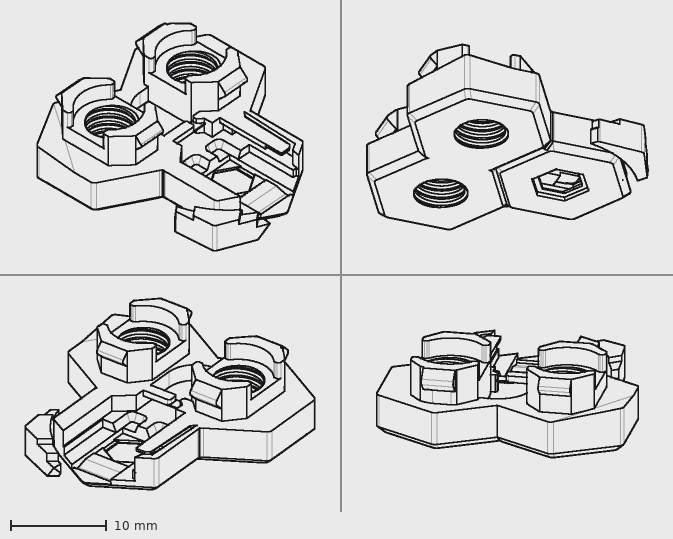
import cadquery as cq
import math

EPS = 0.02
FAR = 20.0

DECK_Z = 4.31
LARGE_APOTHEM = 6.976
SMALL_APOTHEM = 6.72
CENTER_A = (-11.39, 6.117)
CENTER_B = (-11.557, -6.30)
CORNER_RADIUS = 0.6
BOTTOM_CHAMFER = 0.75

RAMP_HINGE_START = (-19.58, -6.33)
RAMP_HINGE_END = (-10.16, -13.276)
RAMP_SLOPE = 0.198
RAMP_RUN = 5.0

TOWER_TOP_Z = 8.2
SADDLE_Z = 6.25
TOWER_SHIFT = (-0.05, -0.14)
TOWER_DEPTH = 7.16
TOWER_HALF_WIDTH_A = 5.33
TOWER_HALF_WIDTH_B = 5.24
TOWER_BEVEL_X = 2.0
CUP_RADIUS = 3.73
MOUTH_WIDTH = 4.68
MOUTH_FILLET = 0.3
SIDE_ROUND_RADIUS = 5.42
SIDE_ROUND_Y = -0.15
SNAP_WIDTH = 3.39
SNAP_SHIFT_Y = 0.12
SNAP_TIP_Z_A = 7.0
SNAP_TIP_Z_B = 7.25
SNAP_REACH_A = 1.02
SNAP_REACH_B = 0.82

HOLE_SHIFT = (0.06, -0.03)
HOLE_DIAMETER = 5.34
THREAD_MAJOR_DIAMETER = 5.95
THREAD_PITCH = 1.0
THREAD_ROOT_WIDTH = 0.2
THREAD_MOUTH_WIDTH = 0.75
THREAD_OVERCUT = 0.1
SLEEVE_RADIUS = 3.4
THREAD_SEAM_ANGLE = 17
SLEEVE_ANGLE = -72

POCKET_Z = 2.4
SHELF_Z = 1.42
PLATE_BOTTOM_Z = 3.65
PAD_LEFT, PAD_RIGHT = -14.16, -7.47
PAD_BOTTOM, PAD_TOP = -2.44, 2.42
PAD_RADIUS = 3.5
PAD_CORNER_WIDTH = 0.72
PAD_CORNER_HEIGHT = 0.8
POCKET_TOP = 2.51
POCKET_STEP_X = -5.2
SHELF_LEFT = -1.52
SHELF_END_X = 4.72
SHELF_BOTTOM, SHELF_TOP = -4.27, 4.23
POCKET_MOUTH_TOP = 4.69
LEVER_TIP_X = 1.26
LEVER_TIP_BOTTOM_Z = 4.02

BAR_RIGHT = -6.19
BAR_END_Y = 0.95
BAR_FILLET = 0.3
FILM_BOTTOM_Z = 3.6
FILM_TOP_Z = 3.72

CHANNEL_HALF_WIDTH = 2.51
CHANNEL_LEFT = -2.69
CHANNEL_STEPS = [
    (CHANNEL_LEFT, 0.75),
    (2.44, 0.89),
    (5.17, 0.52),
    (5.90, 0.86),
]
RAMP_LEFT = 3.88
TAPER_POCKET_LEFT = -4.27
TAPER_POCKET_HEIGHT = 1.56
TAPER_POCKET_ANGLE = 23.0
TAPER_POCKET_RADIUS = 0.3
TAPER_POCKET_CENTERS_Y = (1.72, -1.75)
WINDOW_X = -0.14
WINDOW_HALF_LENGTH = 2.46
WINDOW_HALF_WIDTH = 2.06
WINDOW_LEDGE_Z = 0.6
WINDOW_RECESS_Z = 0.45
WINDOW_RECESS_MARGIN = 0.7

LATCH_Z = 3.4
LATCH_SHOULDER_Z = 2.77
LATCH_TIP_Z = 1.76
LATCH_AXIS_ANGLE = 36.3
LATCH_CORNER_RADIUS = 0.5
LATCH_UNDERCUT = 1.2


def box(x0, x1, y0, y1, z0, z1):
    """Axis-aligned block between the given limits."""
    return cq.Workplane("XY").box(x1 - x0, y1 - y0, z1 - z0, centered=False).translate((x0, y0, z0))


def prism(points, z0, z1):
    """Upright prism on a closed outline."""
    return cq.Workplane("XY").workplane(offset=z0).polyline(points).close().extrude(z1 - z0)


def rounded_hexagon(apothem):
    """Hexagon outline with one corner pointing along +X and rounded corners."""
    circumradius = apothem / math.cos(math.pi / 6)
    return cq.Sketch().regularPolygon(circumradius, 6, 30).vertices().fillet(CORNER_RADIUS)


def chamfered_hexagon(center, apothem):
    """Hexagonal block whose underside narrows; its corner radius stays the same all the way down."""
    underside = rounded_hexagon(apothem - BOTTOM_CHAMFER)
    outline = rounded_hexagon(apothem)
    raised_outline = outline.moved(cq.Location((0, 0, BOTTOM_CHAMFER)))
    foot = cq.Workplane("XY").placeSketch(underside, raised_outline).loft()
    block = cq.Workplane("XY").workplane(offset=BOTTOM_CHAMFER).placeSketch(outline)
    block = block.extrude(DECK_Z - BOTTOM_CHAMFER)
    return foot.union(block).translate((*center, 0))


def joint_infill(center, side):
    """Rounded infill where the +Y (side 1) or -Y (side -1) large hexagon meets the small one."""
    lean = math.tan(math.pi / 6)
    reach = CORNER_RADIUS * lean
    corner_x = center[0] + LARGE_APOTHEM / math.cos(math.pi / 6) - (SMALL_APOTHEM - side * center[1]) * lean
    corner = (corner_x, SMALL_APOTHEM)
    on_small_edge = (corner[0] + reach, corner[1])
    on_large_edge = (corner[0] - reach * math.sin(math.pi / 6), corner[1] + reach * math.cos(math.pi / 6))
    sagitta_point = (
        on_small_edge[0] - CORNER_RADIUS * math.sin(math.pi / 6),
        on_small_edge[1] + CORNER_RADIUS * (1 - math.cos(math.pi / 6)),
    )

    def outline(shift_x, shift_y, z):
        def moved(point):
            return (point[0] + shift_x, point[1] + shift_y)
        start = cq.Workplane("XY").workplane(offset=z).moveTo(*moved(corner)).lineTo(*moved(on_small_edge))
        return start.threePointArc(moved(sagitta_point), moved(on_large_edge)).close()

    upright = outline(0, 0, BOTTOM_CHAMFER).extrude(DECK_Z - BOTTOM_CHAMFER)
    underside = outline(-BOTTOM_CHAMFER * lean, -BOTTOM_CHAMFER, 0).val()
    foot = cq.Solid.makeLoft([underside, outline(0, 0, BOTTOM_CHAMFER).val()], True)
    infill = upright.union(cq.Workplane(foot))
    return infill if side > 0 else infill.mirror("XZ")


def base_plate():
    plate = chamfered_hexagon(CENTER_A, LARGE_APOTHEM)
    plate = plate.union(chamfered_hexagon(CENTER_B, LARGE_APOTHEM))
    plate = plate.union(chamfered_hexagon((0, 0), SMALL_APOTHEM))
    return plate.union(joint_infill(CENTER_A, 1)).union(joint_infill(CENTER_B, -1))


def raised_corner():
    """Sloping wedge that rises from a hinge line across the lower large hexagon."""
    dx = RAMP_HINGE_END[0] - RAMP_HINGE_START[0]
    dy = RAMP_HINGE_END[1] - RAMP_HINGE_START[1]
    length = math.hypot(dx, dy)
    hinge = cq.Plane(
        origin=(*RAMP_HINGE_START, DECK_Z),
        xDir=(dy / length, -dx / length, 0),
        normal=(-dx / length, -dy / length, 0),
    )
    profile = [
        (0, 0),
        (RAMP_RUN, RAMP_RUN * RAMP_SLOPE),
        (RAMP_RUN, BOTTOM_CHAMFER - DECK_Z),
        (0, BOTTOM_CHAMFER - DECK_Z),
    ]
    wedge = cq.Workplane(hinge).polyline(profile).close().extrude(FAR, both=True)
    footprint = cq.Workplane("XY").placeSketch(rounded_hexagon(LARGE_APOTHEM)).extrude(TOWER_TOP_Z)
    return wedge.intersect(footprint.translate((*CENTER_B, 0)))


def snap_ridge(half_width, reach, tip_z):
    """Roof-shaped ridge on the +X flank of a tower, running along Y."""
    root = half_width - 0.5
    rise = TOWER_TOP_Z - tip_z
    profile = [
        (root, TOWER_TOP_Z),
        (half_width, TOWER_TOP_Z),
        (half_width + rise, tip_z),
        (half_width, tip_z - rise),
        (root, tip_z - rise),
    ]
    ridge = cq.Workplane("XZ").polyline(profile).close().extrude(SNAP_WIDTH / 2, both=True)
    tip_setback = rise - reach
    radius = tip_setback / (math.sqrt(2) - 1)
    return ridge.edges("|Y and >X").fillet(radius).translate((0, SNAP_SHIFT_Y, 0))


def tower(half_width, reach, tip_z, round_left):
    """Eight-sided tower about the origin with a round cup, an open mouth and two snap ridges."""
    half_depth = TOWER_DEPTH / 2
    flank_low = SNAP_SHIFT_Y - SNAP_WIDTH / 2
    flank_high = SNAP_SHIFT_Y + SNAP_WIDTH / 2
    outline = [
        (half_width, flank_low),
        (half_width, flank_high),
        (half_width - TOWER_BEVEL_X, half_depth),
        (TOWER_BEVEL_X - half_width, half_depth),
        (-half_width, flank_high),
        (-half_width, flank_low),
        (TOWER_BEVEL_X - half_width, -half_depth),
        (half_width - TOWER_BEVEL_X, -half_depth),
    ]
    body = prism(outline, POCKET_Z, TOWER_TOP_Z)
    mouth = box(-MOUTH_WIDTH / 2, MOUTH_WIDTH / 2, -FAR, FAR, SADDLE_Z, FAR)
    cup = cq.Workplane("XY").workplane(offset=SADDLE_Z).circle(CUP_RADIUS).extrude(FAR)
    body = body.cut(mouth).cut(cup)
    cheek_tips = cq.selectors.BoxSelector((-2.6, -FAR, SADDLE_Z + 0.1), (2.6, FAR, FAR))
    body = body.edges("|Z").edges(cheek_tips).fillet(MOUTH_FILLET)
    if round_left:
        flank = cq.Workplane("XY").center(0, SIDE_ROUND_Y).circle(SIDE_ROUND_RADIUS).extrude(FAR)
        body = body.intersect(flank.union(box(0, FAR, -FAR, FAR, 0, FAR)))
    ridge = snap_ridge(half_width, reach, tip_z)
    return body.union(ridge).union(ridge.mirror("YZ"))


def threaded_sleeve():
    """Ring of tower material around the bore, carrying one helical thread groove."""
    bore_radius = HOLE_DIAMETER / 2
    major_radius = THREAD_MAJOR_DIAMETER / 2
    inner_radius = bore_radius - THREAD_OVERCUT
    bore = cq.Workplane("XY").workplane(offset=-1).circle(bore_radius).extrude(FAR)
    sleeve = cq.Workplane("XY").circle(SLEEVE_RADIUS).extrude(SADDLE_Z).cut(bore)
    helix = cq.Wire.makeHelix(THREAD_PITCH, SADDLE_Z + 2 * THREAD_PITCH, bore_radius)
    profile = [
        (inner_radius, -THREAD_MOUTH_WIDTH / 2),
        (major_radius, -THREAD_ROOT_WIDTH / 2),
        (major_radius, THREAD_ROOT_WIDTH / 2),
        (inner_radius, THREAD_MOUTH_WIDTH / 2),
    ]
    groove = cq.Workplane("XZ").polyline(profile).close().sweep(cq.Workplane(helix), isFrenet=True)
    groove = groove.translate((0, 0, -THREAD_PITCH)).rotate((0, 0, 0), (0, 0, 1), THREAD_SEAM_ANGLE)
    return sleeve.cut(groove).rotate((0, 0, 0), (0, 0, 1), SLEEVE_ANGLE)


def pad_recess():
    """Recess left of the bar, with one large round corner."""
    pad = box(PAD_LEFT, PAD_RIGHT + EPS, PAD_BOTTOM, PAD_TOP, POCKET_Z, FAR)
    pad = pad.edges("|Z and <X and <Y").fillet(PAD_RADIUS)
    corner_left = PAD_RIGHT - PAD_CORNER_WIDTH
    corner_top = PAD_TOP + PAD_CORNER_HEIGHT
    corner = box(corner_left, PAD_RIGHT, PAD_TOP - EPS, corner_top, POCKET_Z, FAR)
    return pad.union(corner)


def mechanism_pocket():
    """Stepped pocket that opens through the +X sides of the small hexagon."""
    outline = [
        (PAD_RIGHT, PAD_BOTTOM),
        (-4.95, PAD_BOTTOM),
        (-3.35, -4.45),
        (FAR, -4.45),
        (FAR, POCKET_MOUTH_TOP),
        (5.04, POCKET_MOUTH_TOP),
        (4.03, 4.89),
        (3.48, 5.84),
        (-3.97, 6.15),
        (-3.97, SHELF_TOP),
        (POCKET_STEP_X, SHELF_TOP),
        (POCKET_STEP_X, POCKET_TOP),
        (PAD_RIGHT, POCKET_TOP),
    ]
    pocket = prism(outline, POCKET_Z, FAR)
    shelf = box(SHELF_LEFT, FAR, SHELF_BOTTOM, SHELF_TOP, SHELF_Z, FAR)
    shelf_end = box(SHELF_END_X, FAR, 0, POCKET_MOUTH_TOP, SHELF_Z, FAR)
    return pocket.union(shelf).union(shelf_end)


def channel():
    """Stepped channel along X, with one sloping stretch of floor."""
    right_ends = [left for left, _ in CHANNEL_STEPS[1:]] + [FAR]
    profile = [(CHANNEL_LEFT, DECK_Z)]
    for (left, floor), right in zip(CHANNEL_STEPS, right_ends):
        level_end = RAMP_LEFT if left < RAMP_LEFT < right else right
        profile += [(left, floor), (level_end, floor)]
    profile.append((FAR, DECK_Z))
    return cq.Workplane("XZ").polyline(profile).close().extrude(CHANNEL_HALF_WIDTH, both=True)


def taper_pocket(center_y):
    """Pocket whose walls lean outward from the shelf level to the pocket floor."""
    length = SHELF_LEFT + FAR / 4 - TAPER_POCKET_LEFT
    floor = cq.Workplane("XY").workplane(offset=SHELF_Z).center(TAPER_POCKET_LEFT + length / 2, center_y)
    floor = floor.sketch().rect(length, TAPER_POCKET_HEIGHT).vertices().fillet(TAPER_POCKET_RADIUS).finalize()
    return floor.extrude(POCKET_Z - SHELF_Z, taper=-TAPER_POCKET_ANGLE)


def window_outline(half_width, margin=0.0):
    """Hexagon with its corners on the X axis, cut off by long flats at +/- half_width."""
    half_length = WINDOW_HALF_LENGTH + margin
    flat = half_length - half_width * WINDOW_HALF_LENGTH / (2 * WINDOW_HALF_WIDTH)
    return [
        (WINDOW_X + half_length, 0),
        (WINDOW_X + flat, half_width),
        (WINDOW_X - flat, half_width),
        (WINDOW_X - half_length, 0),
        (WINDOW_X - flat, -half_width),
        (WINDOW_X + flat, -half_width),
    ]


def window():
    """Hexagonal opening; its long flats step outward above a ledge, and a recess widens its underside."""
    through = prism(window_outline(WINDOW_HALF_WIDTH), -1, DECK_Z)
    upper = prism(window_outline(CHANNEL_HALF_WIDTH), WINDOW_LEDGE_Z, DECK_Z)
    recess_half_width = WINDOW_HALF_WIDTH + WINDOW_RECESS_MARGIN
    recess = prism(window_outline(recess_half_width, WINDOW_RECESS_MARGIN), -1, WINDOW_RECESS_Z)
    return through.union(upper).union(recess)


def lever():
    """Thin arm over the pocket, joined to the deck at its left end."""
    outline = [
        (POCKET_STEP_X - 0.2, 3.70),
        (3.40, 3.70),
        (3.52, 3.82),
        (3.52, 4.90),
        (3.20, 5.35),
        (2.62, 5.42),
        (-3.40, 5.64),
        (-3.97 - EPS, 6.15),
        (POCKET_STEP_X - 0.2, 6.15),
    ]
    arm = prism(outline, PLATE_BOTTOM_Z, DECK_Z)
    left, right = -3.45, 2.62
    bevel = (
        cq.Workplane("YZ").workplane(offset=left)
        .polyline([(5.60, DECK_Z), (5.60, PLATE_BOTTOM_Z), (5.90, PLATE_BOTTOM_Z)]).close()
        .workplane(offset=right - left)
        .polyline([(5.40, DECK_Z), (5.40, PLATE_BOTTOM_Z), (5.78, PLATE_BOTTOM_Z)]).close()
        .loft(ruled=True)
    )
    thin_tip = box(LEVER_TIP_X, FAR, 0, FAR, PLATE_BOTTOM_Z - EPS, LEVER_TIP_BOTTOM_Z)
    return arm.union(bevel).cut(thin_tip)


def bar():
    """Thin bar that crosses above the pocket floor from its -Y side."""
    strip = box(PAD_RIGHT, BAR_RIGHT, PAD_BOTTOM - EPS, BAR_END_Y, PLATE_BOTTOM_Z, DECK_Z)
    return strip.edges("|Z and >Y").fillet(BAR_FILLET)


def nub():
    """Stop that faces the end of the bar."""
    outline = [
        (PAD_RIGHT, POCKET_TOP + EPS),
        (PAD_RIGHT, 2.05),
        (-7.30, 1.87),
        (-6.85, 1.87),
        (-6.30, POCKET_TOP + EPS),
    ]
    return prism(outline, POCKET_Z - EPS, DECK_Z)


def film():
    """Thin web that joins the bar to the nub."""
    return box(PAD_RIGHT, BAR_RIGHT, PAD_BOTTOM - EPS, POCKET_TOP + EPS, FILM_BOTTOM_Z, FILM_TOP_Z)


def build_plate():
    plate = base_plate().union(raised_corner())
    plate = plate.cut(pad_recess()).cut(mechanism_pocket())
    plate = plate.cut(channel()).cut(window())
    for center_y in TAPER_POCKET_CENTERS_Y:
        plate = plate.cut(taper_pocket(center_y))
    plate = plate.union(lever()).union(bar()).union(nub()).union(film())
    towers = [
        (CENTER_A, TOWER_HALF_WIDTH_A, SNAP_REACH_A, SNAP_TIP_Z_A, True),
        (CENTER_B, TOWER_HALF_WIDTH_B, SNAP_REACH_B, SNAP_TIP_Z_B, False),
    ]
    sleeve = threaded_sleeve()
    sleeve_seat = cq.Workplane("XY").circle(SLEEVE_RADIUS).extrude(SADDLE_Z)
    for center, half_width, reach, tip_z, round_left in towers:
        tower_place = (center[0] + TOWER_SHIFT[0], center[1] + TOWER_SHIFT[1], 0)
        hole_place = (center[0] + HOLE_SHIFT[0], center[1] + HOLE_SHIFT[1], 0)
        plate = plate.union(tower(half_width, reach, tip_z, round_left).translate(tower_place))
        plate = plate.cut(sleeve_seat.translate(hole_place)).union(sleeve.translate(hole_place))
    return plate


def beyond(point, direction, z0):
    """Block above z0 that starts at a point and runs along (+1) or against (-1) the latch axis."""
    start = min(0, direction * FAR)
    cutter = box(start, start + FAR, -FAR / 2, FAR / 2, z0, FAR)
    return cutter.rotate((0, 0, 0), (0, 0, 1), LATCH_AXIS_ANGLE).translate((*point, 0))


def build_latch():
    """Crescent-shaped latch with stepped ends and an undercut tip."""
    tip = (8.40, -3.32)
    body = (
        cq.Workplane("XY").moveTo(-0.05, -8.77)
        .threePointArc((4.97, -6.23), (7.36, -3.17))
        .lineTo(*tip)
        .lineTo(5.78, -9.05)
        .lineTo(0.70, -9.43)
        .lineTo(0.50, -9.40)
        .close()
        .extrude(LATCH_Z)
    )
    outer_corner = cq.selectors.BoxSelector((5.5, -9.3, -1), (6.0, -8.8, FAR))
    body = body.edges("|Z").edges(outer_corner).fillet(LATCH_CORNER_RADIUS)
    body = body.cut(beyond((2.07, -8.02), -1, LATCH_SHOULDER_Z))
    body = body.cut(beyond((0.11, -8.72), -1, LATCH_TIP_Z))
    body = body.cut(beyond((6.01, -5.27), 1, LATCH_SHOULDER_Z))
    body = body.cut(beyond((7.14, -3.83), 1, LATCH_TIP_Z))
    profile = [
        (-LATCH_UNDERCUT, 0),
        (0, LATCH_TIP_Z),
        (LATCH_UNDERCUT, LATCH_TIP_Z),
        (LATCH_UNDERCUT, -1),
        (-LATCH_UNDERCUT, -1),
    ]
    relief = cq.Workplane("XZ").polyline(profile).close().extrude(FAR, both=True)
    relief = relief.rotate((0, 0, 0), (0, 0, 1), LATCH_AXIS_ANGLE).translate((*tip, 0))
    return body.cut(relief)


plate = build_plate()
latch = build_latch()
result = cq.Compound.makeCompound([plate.val(), latch.val()])